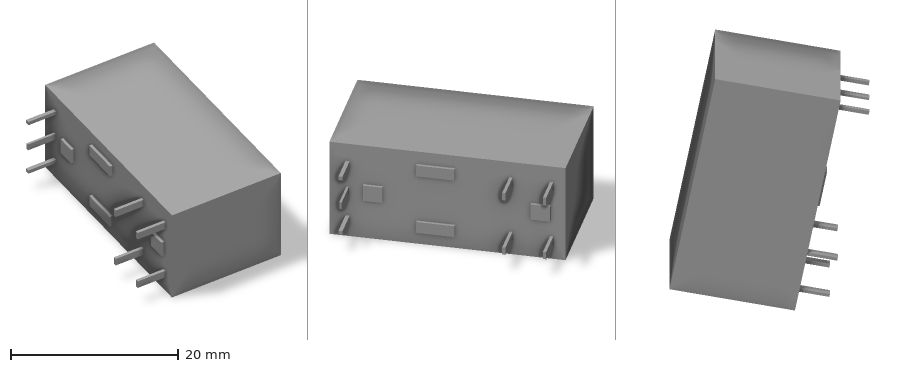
import cadquery as cq

body_length = 29.0
body_height = 12.7
overall_depth = 19.2
pin_length = 3.9
body_depth = overall_depth - pin_length

pad_thickness = 0.4

end_pad_length = 2.4
end_pad_height = 2.1
end_pad_left_x = -9.1
end_pad_right_x = 11.5

side_pad_length = 4.7
side_pad_height = 1.5
side_pad_x = -1.4
side_pad_offset_z = 3.9

pin_row_offset_z = 3.75

coil_pin_x = -12.25
coil_pin_side = 0.5

center_pin_width = 0.3
center_pin_height = 0.9

contact_pin_inner_x = 7.8
contact_pin_pitch = 5.0
contact_pin_width = 0.4
contact_pin_height = 1.0


def make_body():
    """Housing block, centred on X and Z, extending to +Y from the mounting face."""
    return cq.Workplane("XY").box(body_length, body_depth, body_height, centered=(True, False, True))


def make_prisms(centers, width, height, length):
    """Rectangular prisms at the given (x, z) centres, standing toward -Y on the mounting face."""
    return cq.Workplane("XZ").pushPoints(centers).rect(width, height).extrude(length)


def make_pads():
    end_centers = [(x, 0) for x in (end_pad_left_x, end_pad_right_x)]
    side_centers = [(side_pad_x, side * side_pad_offset_z) for side in (-1, 1)]
    end_pads = make_prisms(end_centers, end_pad_length, end_pad_height, pad_thickness)
    side_pads = make_prisms(side_centers, side_pad_length, side_pad_height, pad_thickness)
    return end_pads.add(side_pads)


def make_pins():
    row_heights = (-pin_row_offset_z, pin_row_offset_z)
    contact_columns = (contact_pin_inner_x, contact_pin_inner_x + contact_pin_pitch)
    coil_centers = [(coil_pin_x, z) for z in row_heights]
    contact_centers = [(x, z) for x in contact_columns for z in row_heights]
    coil_pins = make_prisms(coil_centers, coil_pin_side, coil_pin_side, pin_length)
    center_pin = make_prisms([(coil_pin_x, 0)], center_pin_width, center_pin_height, pin_length)
    contact_pins = make_prisms(contact_centers, contact_pin_width, contact_pin_height, pin_length)
    return coil_pins.add(center_pin).add(contact_pins)


result = make_body()
for feature in (make_pads(), make_pins()):
    for prism in feature.vals():
        result = result.union(cq.Workplane(prism))